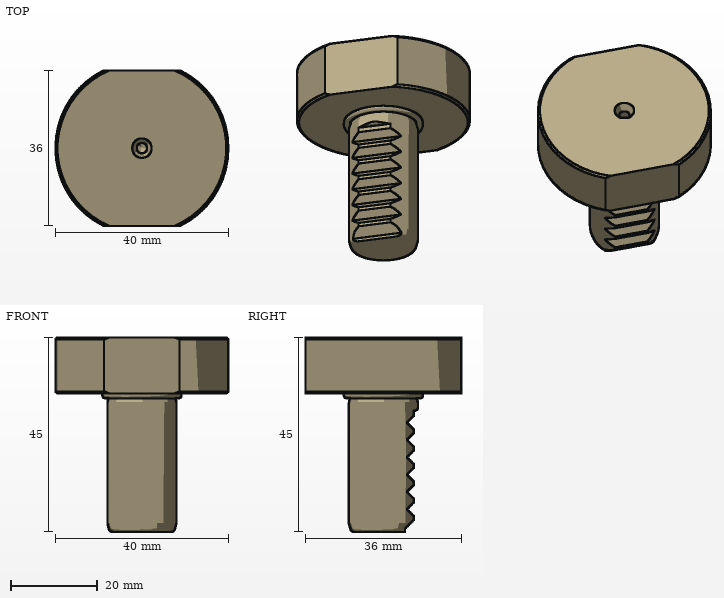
import cadquery as cq
import math

TOTAL_HEIGHT = 45.0

HEAD_DIAMETER = 40.0
HEAD_HEIGHT = 13.0
HEAD_ACROSS_FLATS = 36.0
HEAD_CHAMFER = 0.5
HEAD_BOTTOM = TOTAL_HEIGHT - HEAD_HEIGHT

SHANK_RADIUS = 8.0
TAPER_LENGTH = 2.02
TAPER_ANGLE = 15.0
TAPERED_RADIUS = SHANK_RADIUS - TAPER_LENGTH * math.tan(math.radians(TAPER_ANGLE))
TIP_FILLET = 1.0

TOOTH_LAND_Y = 7.0
GROOVE_ROOT_Y = 5.45
GROOVE_DEPTH = TOOTH_LAND_Y - GROOVE_ROOT_Y
GROOVE_COUNT = 6
TOOTH_PITCH = 4.0
TOP_GROOVE_Z = 25.3
FLAT_TOP_Z = 28.0
SHOULDER_RADIUS = 1.12
TIP_RELIEF_Y = 5.0
CUT_OUTER_Y = TOOTH_LAND_Y + SHOULDER_RADIUS
CUT_WIDTH = 3 * SHANK_RADIUS

COUNTERSINK_DIAMETER = 4.5
COUNTERSINK_ANGLE = 60.0
CENTRE_HOLE_DIAMETER = 2.4
CENTRE_HOLE_LENGTH = 2.25
DRILL_POINT_ANGLE = 120.0

RING_OUTER_RADIUS = 9.2
RING_SECTION_RADIUS = 0.75
RING_DROP = 0.35
RING_CENTRE_RADIUS = RING_OUTER_RADIUS - RING_SECTION_RADIUS
RING_Z = HEAD_BOTTOM - RING_DROP


def make_head():
    disc = (
        cq.Workplane("XY")
        .workplane(offset=HEAD_BOTTOM)
        .circle(HEAD_DIAMETER / 2)
        .extrude(HEAD_HEIGHT)
        .edges("%CIRCLE")
        .chamfer(HEAD_CHAMFER)
    )
    between_flats = cq.Workplane("XY").box(HEAD_DIAMETER, HEAD_ACROSS_FLATS, 2 * TOTAL_HEIGHT)
    return disc.intersect(between_flats)


def make_shank():
    profile = (
        cq.Workplane("XZ")
        .moveTo(0, 0)
        .lineTo(TAPERED_RADIUS, 0)
        .lineTo(SHANK_RADIUS, TAPER_LENGTH)
        .lineTo(SHANK_RADIUS, HEAD_BOTTOM - TAPER_LENGTH)
        .lineTo(TAPERED_RADIUS, HEAD_BOTTOM)
        .lineTo(0, HEAD_BOTTOM)
        .close()
    )
    return profile.revolve(360, (0, 0), (0, 1)).faces("<Z").edges().fillet(TIP_FILLET)


def extrude_across(profile):
    """Extrude a YZ profile along X, through the whole shank."""
    return profile.extrude(CUT_WIDTH / 2, both=True)


def make_tooth_flat_cutter():
    """Flat for the teeth, with a convex rounded shoulder at its upper end."""
    profile = (
        cq.Workplane("YZ")
        .moveTo(TOOTH_LAND_Y, 0)
        .lineTo(TOOTH_LAND_Y, FLAT_TOP_Z)
        .radiusArc((CUT_OUTER_Y, FLAT_TOP_Z + SHOULDER_RADIUS), -SHOULDER_RADIUS)
        .lineTo(CUT_OUTER_Y, 0)
        .close()
    )
    return extrude_across(profile)


def make_groove_cutter(root_z):
    profile = (
        cq.Workplane("YZ")
        .moveTo(GROOVE_ROOT_Y, root_z)
        .lineTo(TOOTH_LAND_Y, root_z + GROOVE_DEPTH)
        .lineTo(TOOTH_LAND_Y, root_z - GROOVE_DEPTH)
        .close()
    )
    return extrude_across(profile)


def make_tip_relief_cutter():
    """Relief below the last tooth: its 45 degree flank ends on a flat at the tip."""
    flank_top_z = TOP_GROOVE_Z - GROOVE_COUNT * TOOTH_PITCH + GROOVE_DEPTH
    relief_depth = TOOTH_LAND_Y - TIP_RELIEF_Y
    profile = (
        cq.Workplane("YZ")
        .moveTo(TIP_RELIEF_Y, 0)
        .lineTo(TIP_RELIEF_Y, flank_top_z - relief_depth)
        .lineTo(TOOTH_LAND_Y, flank_top_z)
        .lineTo(CUT_OUTER_Y, flank_top_z)
        .lineTo(CUT_OUTER_Y, 0)
        .close()
    )
    return extrude_across(profile)


def make_centre_hole_cutter():
    outer_radius = COUNTERSINK_DIAMETER / 2
    hole_radius = CENTRE_HOLE_DIAMETER / 2
    countersink_depth = (outer_radius - hole_radius) / math.tan(math.radians(COUNTERSINK_ANGLE / 2))
    point_depth = hole_radius / math.tan(math.radians(DRILL_POINT_ANGLE / 2))
    countersink_bottom = TOTAL_HEIGHT - countersink_depth
    hole_bottom = countersink_bottom - CENTRE_HOLE_LENGTH
    profile = (
        cq.Workplane("XZ")
        .moveTo(0, TOTAL_HEIGHT)
        .lineTo(outer_radius, TOTAL_HEIGHT)
        .lineTo(hole_radius, countersink_bottom)
        .lineTo(hole_radius, hole_bottom)
        .lineTo(0, hole_bottom - point_depth)
        .close()
    )
    return profile.revolve(360, (0, 0), (0, 1))


def make_ring():
    section = cq.Workplane("XZ").center(RING_CENTRE_RADIUS, RING_Z).circle(RING_SECTION_RADIUS)
    return section.revolve(360, (-RING_CENTRE_RADIUS, 0), (-RING_CENTRE_RADIUS, 1))


def make_plug(ring):
    plug = make_head().union(make_shank())
    plug = plug.cut(make_tooth_flat_cutter())
    for index in range(GROOVE_COUNT):
        plug = plug.cut(make_groove_cutter(TOP_GROOVE_Z - index * TOOTH_PITCH))
    plug = plug.cut(make_tip_relief_cutter())
    plug = plug.cut(make_centre_hole_cutter())
    return plug.cut(ring).solids()


sealing_ring = make_ring()
plug = make_plug(sealing_ring)

result = cq.Compound.makeCompound([plug.val(), sealing_ring.val()])